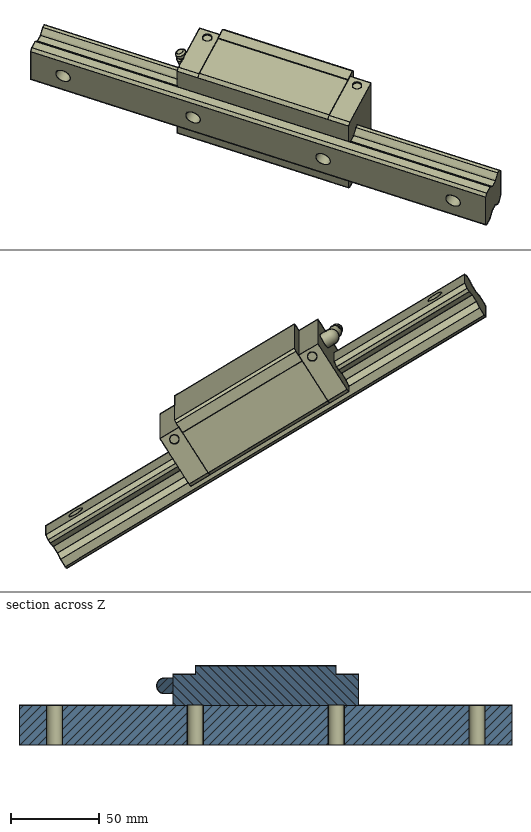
import cadquery as cq

RAIL_LENGTH = 280.0
RAIL_HALF_WIDTH = 14.0
RAIL_HEIGHT = 22.7
RAIL_BASE_CHAMFER = 1.7
RAIL_TOP_CHAMFER_DEPTH = 2.5
RAIL_TOP_CHAMFER_WIDTH = 3.5
GROOVE_TOP = 18.0
GROOVE_LEDGE = 15.0
GROOVE_FLOOR_TOP = 14.5
GROOVE_FLOOR_BASE = 10.0
GROOVE_BASE = 6.7
LEDGE_HALF_WIDTH = 11.5
FLOOR_HALF_WIDTH = 10.5
HOLE_DIAMETER = 9.0
HOLE_COUNT = 4
HOLE_PITCH = 2 * RAIL_LENGTH / 7

CARRIAGE_BASE = 7.0
CARRIAGE_TOP = 45.0
CARRIAGE_BASE_HALF_WIDTH = 27.5
CARRIAGE_EDGE_HEIGHT = 2.0
BLOCK_LENGTH = HOLE_PITCH
BLOCK_HALF_WIDTH = 29.5
LIP_BASE = 36.7
LIP_HALF_WIDTH = 30.0
LIP_CHAMFER = 1.7
CAP_TOP = 40.3
CAP_HALF_WIDTH = 28.8
CAPS_LENGTH = 105.5
CAP_HOLE_SPACING = 92.0
CAP_HOLE_DIAMETER = 5.3
CAP_HOLE_DEPTH = 1.0
CAP_HOLE_HEIGHT = 35.5

NIPPLE_HEIGHT = 33.5
ELBOW_RADIUS = 4.5
STEM_LENGTH = 4.8
HEAD_TILT = 22.5
COLLAR_RADIUS = 3.5
COLLAR_LENGTH = 7.5
NECK_RADIUS = 2.2
NECK_LENGTH = 1.5
TIP_RADIUS = 3.0
TIP_CHAMFER = 1.0
TIP_LENGTH = 3.0


def along_x(profile, length):
    """Extrude a closed YZ profile by a length centred on X = 0."""
    return profile.extrude(length / 2, both=True)


def mirrored_profile(half_outline):
    """Close a (height Y, half width Z) outline with its mirror image in Z."""
    other_half = [(y, -z) for y, z in reversed(half_outline)]
    return cq.Workplane("YZ").polyline(half_outline + other_half).close()


def make_rail_bar():
    """Rail without holes: a ball groove runs along each side."""
    outline = [
        (0, RAIL_HALF_WIDTH - RAIL_BASE_CHAMFER),
        (RAIL_BASE_CHAMFER, RAIL_HALF_WIDTH),
        (GROOVE_BASE, RAIL_HALF_WIDTH),
        (GROOVE_FLOOR_BASE, FLOOR_HALF_WIDTH),
        (GROOVE_FLOOR_TOP, FLOOR_HALF_WIDTH),
        (GROOVE_LEDGE, LEDGE_HALF_WIDTH),
        (GROOVE_TOP, RAIL_HALF_WIDTH),
        (RAIL_HEIGHT - RAIL_TOP_CHAMFER_DEPTH, RAIL_HALF_WIDTH),
        (RAIL_HEIGHT, RAIL_HALF_WIDTH - RAIL_TOP_CHAMFER_WIDTH),
    ]
    return along_x(mirrored_profile(outline), RAIL_LENGTH)


def make_rail():
    holes = (
        cq.Workplane("XZ")
        .rarray(HOLE_PITCH, 2.8, HOLE_COUNT, 1)
        .circle(HOLE_DIAMETER / 2)
        .extrude(-RAIL_HEIGHT)
    )
    return make_rail_bar().cut(holes)


def make_block():
    outline = [
        (CARRIAGE_BASE, CARRIAGE_BASE_HALF_WIDTH),
        (CARRIAGE_BASE + CARRIAGE_EDGE_HEIGHT, BLOCK_HALF_WIDTH),
        (LIP_BASE, BLOCK_HALF_WIDTH),
        (LIP_BASE, LIP_HALF_WIDTH),
        (CARRIAGE_TOP - LIP_CHAMFER, LIP_HALF_WIDTH),
        (CARRIAGE_TOP, LIP_HALF_WIDTH - LIP_CHAMFER),
    ]
    return along_x(mirrored_profile(outline), BLOCK_LENGTH)


def make_end_caps():
    """Both end caps, as one bar that runs through the block."""
    outline = [
        (CARRIAGE_BASE, CARRIAGE_BASE_HALF_WIDTH),
        (CARRIAGE_BASE + CARRIAGE_EDGE_HEIGHT, CAP_HALF_WIDTH),
        (CAP_TOP, CAP_HALF_WIDTH),
    ]
    return along_x(mirrored_profile(outline), CAPS_LENGTH)


def make_cap_holes():
    """Shallow round recesses in both Z sides of each end cap."""
    side_tool = (
        cq.Workplane("XY", origin=(0, CAP_HOLE_HEIGHT, CAP_HALF_WIDTH))
        .rarray(CAP_HOLE_SPACING, 2.8, 2, 1)
        .circle(CAP_HOLE_DIAMETER / 2)
        .extrude(-CAP_HOLE_DEPTH)
    )
    return side_tool.union(side_tool.mirror("XY"))


def make_carriage():
    return make_block().union(make_end_caps()).cut(make_rail_bar()).cut(make_cap_holes())


def make_nipple():
    cap_face = -CAPS_LENGTH / 2
    elbow = cq.Vector(cap_face - STEM_LENGTH, NIPPLE_HEIGHT, 0)
    stem = (
        cq.Workplane("YZ", origin=elbow.toTuple())
        .circle(ELBOW_RADIUS)
        .extrude(STEM_LENGTH)
    )
    ball = cq.Workplane("XY", origin=elbow.toTuple()).sphere(ELBOW_RADIUS)
    neck_top = COLLAR_LENGTH + NECK_LENGTH
    tip_top = neck_top + TIP_LENGTH
    half_section = [
        (0, 0),
        (COLLAR_RADIUS, 0),
        (COLLAR_RADIUS, COLLAR_LENGTH),
        (NECK_RADIUS, COLLAR_LENGTH),
        (NECK_RADIUS, neck_top),
        (TIP_RADIUS, neck_top),
        (TIP_RADIUS, tip_top - TIP_CHAMFER),
        (TIP_RADIUS - TIP_CHAMFER, tip_top),
        (0, tip_top),
    ]
    head = (
        cq.Workplane("XZ")
        .polyline(half_section)
        .close()
        .revolve(360, (0, 0, 0), (0, 1, 0))
        .rotate((0, 0, 0), (0, 1, 0), -HEAD_TILT)
        .translate(elbow)
    )
    return stem.union(ball).union(head)


rail = make_rail()
carriage = make_carriage()
nipple = make_nipple()
result = cq.Compound.makeCompound([rail.val(), carriage.val(), nipple.val()])